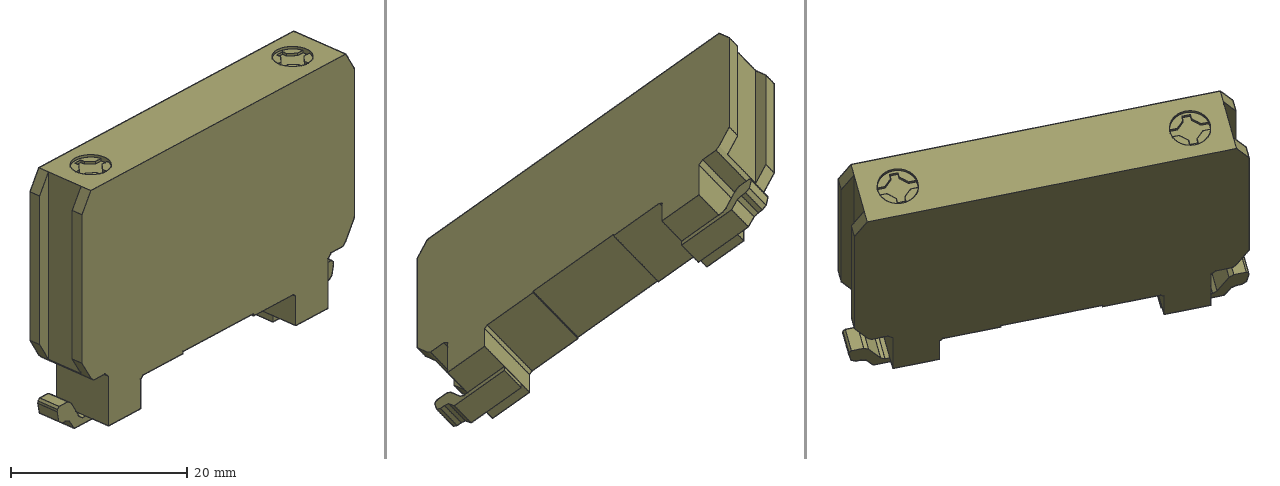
import cadquery as cq
import math

total_length = 46.7
width = 8.0
total_height = 32.65
tip_y = total_length / 2
left_side = -width / 2
ends = (-1, 1)

leg_outer_y = 18.55
leg_inner_y = 13.05
leg_outer_bevel = 0.55
leg_inner_bevel = 0.37

housing_half_length = 23.0
end_inset = 1.5
corner_drop = 2.5
lower_corner_top = 10.85
shoulder_bevel = 0.45
belly_height = 5.05
relief_depth = 0.3
relief_half_length = 5.95
side_wall = 1.5

groove_floor_y = housing_half_length - end_inset
groove_left = left_side + side_wall
groove_width = width - 2 * side_wall
lower_corner_bottom = lower_corner_top - corner_drop
shoulder_height = lower_corner_bottom - shoulder_bevel

recess_x = -0.1
recess_y = 17.05
recess_radius = 2.35
recess_depth = 0.35
cross_depth = 0.35
cross_arm_width = 1.0
cross_arm_length = 3.9
cross_core_half_diagonal = 1.85

clip_width = 3.0
clip_thickness = 0.85
clip_heel_y = 20.45
hook_foot_y = 19.1
hook_foot_bevel_length = 0.5
hook_foot_bevel_rise = 0.37
hook_crest_y = 21.55
hook_crest_bevel_length = 0.55
hook_crest_bevel_drop = 0.37
hook_top = 3.9
tip_bevel = 0.3
tip_height = 3.35
tip_land = 0.05
jaw_height = 1.55
jaw_inner_y = 21.9
jaw_outer_y = 22.5
jaw_bevel_length = 0.55
jaw_bevel_rise = 0.4
jaw_root_length = 0.6
jaw_root_drop = 0.25


def mirrored(points):
    """Reflect (y, z) points to the other end, keeping the outline order."""
    return [(-y, z) for y, z in reversed(points)]


def extruded_outline(points, start_x, thickness):
    """Plate with a (y, z) outline, running along +X from start_x."""
    return cq.Workplane("YZ", origin=(start_x, 0, 0)).polyline(points).close().extrude(thickness)


def housing_blank():
    """Housing profile with legs and sloped corners, the same at both ends."""
    half_outline = [
        (relief_half_length, belly_height + relief_depth),
        (relief_half_length, belly_height),
        (leg_inner_y - leg_inner_bevel, belly_height),
        (leg_inner_y, belly_height - leg_inner_bevel),
        (leg_inner_y, clip_thickness),
        (leg_outer_y, clip_thickness),
        (leg_outer_y, shoulder_height - leg_outer_bevel),
        (leg_outer_y + leg_outer_bevel, shoulder_height),
        (groove_floor_y - shoulder_bevel, shoulder_height),
        (groove_floor_y, lower_corner_bottom),
        (housing_half_length, lower_corner_top),
        (housing_half_length, total_height - corner_drop),
        (groove_floor_y, total_height),
    ]
    return extruded_outline(half_outline + mirrored(half_outline), left_side, width)


def end_groove(end):
    """Vertical channel between the two cheeks at one end of the housing."""
    height = total_height - lower_corner_bottom
    center_y = end * (groove_floor_y + end_inset / 2)
    center_z = lower_corner_bottom + height / 2
    return cq.Workplane("XY", origin=(0, center_y, center_z)).box(groove_width, end_inset, height)


def screw_recess(end):
    """Shallow round recess with a cross-shaped drive pocket in its floor."""
    depth = recess_depth + cross_depth
    floor = cq.Workplane("XY", origin=(recess_x, end * recess_y, total_height - depth))
    core_side = cross_core_half_diagonal * math.sqrt(2)
    x_arms = floor.rect(cross_arm_length, cross_arm_width).extrude(depth)
    y_arms = floor.rect(cross_arm_width, 2 * recess_radius).extrude(depth)
    core = floor.transformed(rotate=(0, 0, 45)).rect(core_side, core_side).extrude(depth)
    limit = floor.circle(recess_radius).extrude(depth)
    cross = x_arms.union(y_arms).union(core).intersect(limit)
    rim = floor.workplane(offset=cross_depth).circle(recess_radius).extrude(recess_depth)
    return rim.union(cross)


def make_housing():
    body = housing_blank()
    for end in ends:
        body = body.cut(end_groove(end))
        body = body.cut(screw_recess(end))
    return body


def make_clip(end):
    """Flat plate under one leg, ending in an upturned hook with bevelled corners."""
    tip_shoulder_y = tip_y - tip_land
    outline = [
        (leg_inner_y, 0),
        (clip_heel_y, 0),
        (jaw_inner_y - jaw_root_length, jaw_height - jaw_root_drop),
        (jaw_inner_y, jaw_height),
        (jaw_outer_y, jaw_height),
        (jaw_outer_y + jaw_bevel_length, jaw_height + jaw_bevel_rise),
        (tip_y, tip_height),
        (tip_shoulder_y, hook_top - tip_bevel),
        (tip_shoulder_y - tip_bevel, hook_top),
        (hook_crest_y, hook_top),
        (hook_crest_y - hook_crest_bevel_length, hook_top - hook_crest_bevel_drop),
        (hook_foot_y + hook_foot_bevel_length, clip_thickness + hook_foot_bevel_rise),
        (hook_foot_y, clip_thickness),
        (leg_inner_y, clip_thickness),
    ]
    if end < 0:
        outline = mirrored(outline)
    return extruded_outline(outline, groove_left, clip_width)


housing = make_housing()
clips = [make_clip(end) for end in ends]

result = cq.Compound.makeCompound([housing.val(), *[clip.val() for clip in clips]])